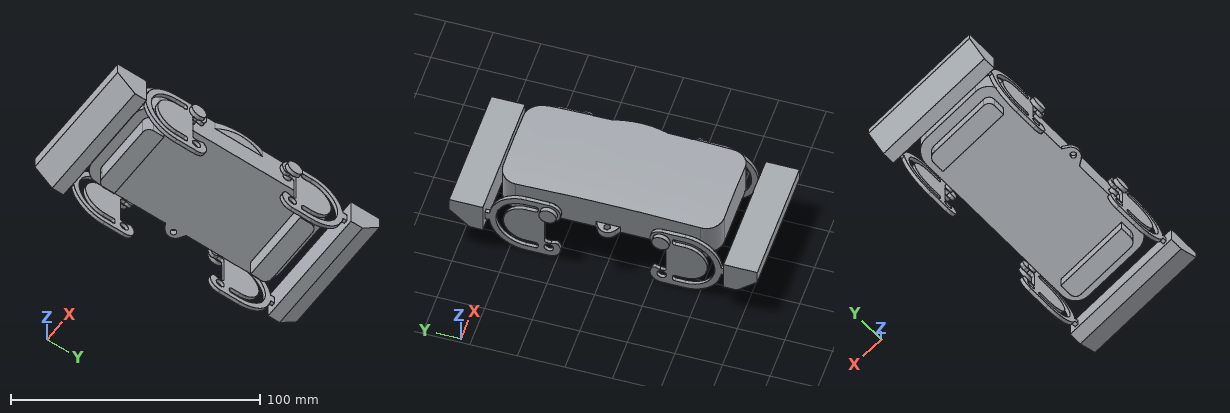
import cadquery as cq
import math

COVER_X = 43.3
COVER_Y = 93.0
COVER_CORNER_R = 7.6
CROWN_Z = 17.0
CROWN_R_ACROSS = 150.2
CROWN_R_ALONG = 880.6

FOOT_INSET = 4.5
FOOT_INNER_Y = 33.7
FOOT_DEPTH = 8.4

BULGE_OUT = 2.0
BULGE_HALF_Y = 11.7
BULGE_BEVEL_Z = 12.8
BULGE_ROOT_Z = 10.6

LUG_TIP_X = -26.0
LUG_TIP_R = 4.3
LUG_TANGENT_Y = 3.6
LUG_HEIGHT = 3.2
LUG_EMBED = 1.3
LUG_HOLE_X = -23.2
LUG_HOLE_R = 1.3

LEVER_CENTER_Y = 33.4
LEVER_CENTER_Z = -4.4
LEVER_R = 15.4
LEVER_INNER_X = 24.0
LEVER_THICKNESS = 1.7
SLOT_OUTER_R = 12.5
SLOT_INNER_R = 9.5
SLOT_END_Y = 28.2
SLOT_CORNER_R = 1.0
HOOK_R = 4.9
HOOK_HOLE_R = 2.0
HOOK_TIP_R = 1.2
HOOK_TIP_ANGLE = math.radians(38)
HOOK_TIP_END_ANGLE = math.radians(115)
HOOK_FLOOR_RISE = 2.7
HOOK_FLOOR_END = 0.8
HOOK_EDGE_SETBACK = 1.8
HOOK_NOTCH_R = 1.2
PIVOT_Y = 23.7

PIN_HEAD_R = 3.6
PIN_HEAD_THICKNESS = 2.0

BAR_X = 57.0
BAR_END_Y = 64.8
BAR_DEPTH = 14.2
BAR_TOP_Z = 3.6
BAR_BOTTOM_Z = -10.2
BAR_CHAMFER_Z = -2.5
BAR_CHAMFER_Y = 56.2
NECK_HEIGHT = 4.0

PIVOT_RISE = LEVER_R - HOOK_R
LEVER_OUTER_X = LEVER_INNER_X + LEVER_THICKNESS
BAR_INNER_Y = BAR_END_Y - BAR_DEPTH


def polar(radius, angle):
    return radius * math.cos(angle), radius * math.sin(angle)


def dome():
    """Barrel-shaped block whose upper face is crowned in both directions."""
    half_x = COVER_X
    edge_z = CROWN_Z - CROWN_R_ACROSS + math.sqrt(CROWN_R_ACROSS**2 - half_x**2)
    sweep = 2 * math.degrees(COVER_Y / CROWN_R_ALONG)
    axis_z = CROWN_Z - CROWN_R_ALONG
    return (
        cq.Workplane("XZ")
        .moveTo(-half_x, -CROWN_Z)
        .lineTo(half_x, -CROWN_Z)
        .lineTo(half_x, edge_z)
        .threePointArc((0, CROWN_Z), (-half_x, edge_z))
        .close()
        .revolve(sweep, (0, axis_z, 0), (1, axis_z, 0))
        .rotate((0, 0, axis_z), (1, 0, axis_z), -sweep / 2)
    )


def cover():
    wall_x = COVER_X / 2
    tip_x = wall_x + BULGE_OUT
    body = (
        cq.Workplane("XY")
        .rect(COVER_X, COVER_Y)
        .extrude(CROWN_Z)
        .edges("|Z")
        .fillet(COVER_CORNER_R)
    )
    bulge = (
        cq.Workplane("XY")
        .moveTo(wall_x, -BULGE_HALF_Y)
        .threePointArc((tip_x, 0), (wall_x, BULGE_HALF_Y))
        .lineTo(0, BULGE_HALF_Y)
        .lineTo(0, -BULGE_HALF_Y)
        .close()
        .extrude(CROWN_Z)
    )
    bevel = (
        cq.Workplane("XZ")
        .moveTo(0, BULGE_ROOT_Z)
        .lineTo(wall_x, BULGE_ROOT_Z)
        .lineTo(tip_x, BULGE_BEVEL_Z)
        .lineTo(tip_x, CROWN_Z)
        .lineTo(0, CROWN_Z)
        .close()
        .extrude(BULGE_HALF_Y, both=True)
    )
    return body.union(bulge.intersect(bevel)).intersect(dome())


def feet():
    """Two blocks below the cover, concentric with its rounded corners."""
    outline = (
        cq.Workplane("XY")
        .rect(COVER_X - 2 * FOOT_INSET, COVER_Y - 2 * FOOT_INSET)
        .extrude(-FOOT_DEPTH)
        .edges("|Z")
        .fillet(COVER_CORNER_R - FOOT_INSET)
    )
    gap = cq.Workplane("XY").rect(COVER_X, 2 * FOOT_INNER_Y).extrude(-FOOT_DEPTH)
    return outline.cut(gap)


def lug():
    center_x = LUG_TIP_X + LUG_TIP_R
    tangent_dx = math.sqrt(LUG_TIP_R**2 - LUG_TANGENT_Y**2)
    tangent_x = center_x - tangent_dx
    root_x = -COVER_X / 2 + LUG_EMBED
    root_y = LUG_TANGENT_Y + (root_x - tangent_x) * tangent_dx / LUG_TANGENT_Y
    return (
        cq.Workplane("XY")
        .moveTo(root_x, -root_y)
        .lineTo(tangent_x, -LUG_TANGENT_Y)
        .threePointArc((LUG_TIP_X, 0), (tangent_x, LUG_TANGENT_Y))
        .lineTo(root_x, root_y)
        .close()
        .extrude(LUG_HEIGHT)
    )


def lug_hole():
    return cq.Workplane("XY").center(LUG_HOLE_X, 0).circle(LUG_HOLE_R).extrude(LUG_HEIGHT)


def lever_half():
    """Upper half of a lever outline, from the arc centre, with +Y towards its handle."""
    hook_y = PIVOT_Y - LEVER_CENTER_Y
    edge_y = hook_y + HOOK_EDGE_SETBACK
    floor_z = PIVOT_RISE - HOOK_FLOOR_RISE

    def from_hook(offset):
        return hook_y - offset[0], PIVOT_RISE - offset[1]

    tip_dy, tip_dz = polar(HOOK_R - HOOK_TIP_R, HOOK_TIP_ANGLE)

    def on_tip(angle):
        dy, dz = polar(HOOK_TIP_R, angle)
        return from_hook((tip_dy + dy, tip_dz + dz))

    notch_bend = HOOK_NOTCH_R * (1 - math.sqrt(0.5))
    tip_mid_angle = (HOOK_TIP_ANGLE + HOOK_TIP_END_ANGLE) / 2
    return (
        cq.Workplane("YZ")
        .moveTo(edge_y, 0)
        .lineTo(LEVER_R, 0)
        .threePointArc(polar(LEVER_R, math.radians(45)), (0, LEVER_R))
        .lineTo(hook_y, LEVER_R)
        .threePointArc(from_hook((HOOK_R, 0)), on_tip(HOOK_TIP_ANGLE))
        .threePointArc(on_tip(tip_mid_angle), on_tip(HOOK_TIP_END_ANGLE))
        .lineTo(hook_y - HOOK_FLOOR_END, floor_z)
        .lineTo(edge_y - HOOK_NOTCH_R, floor_z)
        .threePointArc((edge_y - notch_bend, floor_z - notch_bend), (edge_y, floor_z - HOOK_NOTCH_R))
        .close()
        .extrude(LEVER_THICKNESS)
    )


def slot_outline(radius):
    """Round-ended blank from which the C-shaped slot is formed."""
    end_y = SLOT_END_Y - LEVER_CENTER_Y
    return (
        cq.Workplane("YZ")
        .moveTo(end_y, -radius)
        .lineTo(0, -radius)
        .threePointArc((radius, 0), (0, radius))
        .lineTo(end_y, radius)
        .close()
        .extrude(LEVER_THICKNESS)
    )


def lever():
    """Lever plate on the +X, +Y side."""
    half = lever_half()
    slot = slot_outline(SLOT_OUTER_R).cut(slot_outline(SLOT_INNER_R))
    slot = slot.edges("|X and <Y").fillet(SLOT_CORNER_R)
    hook_hole = (
        cq.Workplane("YZ")
        .center(PIVOT_Y - LEVER_CENTER_Y, -PIVOT_RISE)
        .circle(HOOK_HOLE_R)
        .extrude(LEVER_THICKNESS)
    )
    plate = half.union(half.mirror("XY")).cut(slot).cut(hook_hole)
    return plate.translate((LEVER_INNER_X, LEVER_CENTER_Y, LEVER_CENTER_Z))


def pin():
    """Pivot pin joining a lever to the cover wall."""
    wall_x = COVER_X / 2
    shaft = (
        cq.Workplane("YZ", origin=(wall_x, PIVOT_Y, LEVER_CENTER_Z + PIVOT_RISE))
        .circle(HOOK_HOLE_R)
        .extrude(LEVER_OUTER_X - wall_x)
    )
    return shaft.faces(">X").workplane().circle(PIN_HEAD_R).extrude(PIN_HEAD_THICKNESS)


def neck():
    """Short tab joining a lever to its handle bar."""
    start_y = LEVER_CENTER_Y + (LEVER_R + SLOT_OUTER_R) / 2
    return (
        cq.Workplane("XY", origin=(LEVER_INNER_X, start_y, LEVER_CENTER_Z))
        .box(LEVER_THICKNESS, BAR_INNER_Y - start_y, NECK_HEIGHT, centered=(False, False, True))
    )


def bar():
    """Handle bar on the +Y end, bevelled along its lower outer edge."""
    return (
        cq.Workplane("YZ")
        .moveTo(BAR_INNER_Y, BAR_TOP_Z)
        .lineTo(BAR_END_Y, BAR_TOP_Z)
        .lineTo(BAR_END_Y, BAR_CHAMFER_Z)
        .lineTo(BAR_CHAMFER_Y, BAR_BOTTOM_Z)
        .lineTo(BAR_INNER_Y, BAR_BOTTOM_Z)
        .close()
        .extrude(BAR_X / 2, both=True)
    )


def handle():
    """Complete handle on the +Y end: bar, two levers and two pins."""
    side = lever().union(neck()).union(pin())
    return bar().union(side).union(side.mirror("YZ"))


plus_y_handle = handle()
result = (
    cover()
    .union(feet())
    .union(lug())
    .cut(lug_hole())
    .union(plus_y_handle)
    .union(plus_y_handle.mirror("XZ"))
)